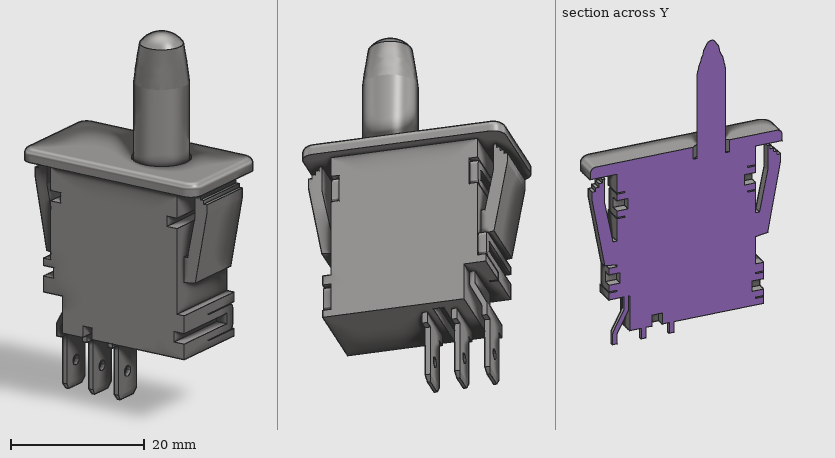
import cadquery as cq


OVERALL_HEIGHT = 58.8

BEZEL_LENGTH = 31.6
BEZEL_WIDTH = 17.0
BEZEL_THICKNESS = 2.0
BEZEL_CORNER_RADIUS = 2.0
BEZEL_EDGE_RADIUS = 1.0

PLUNGER_X = 4.1
PLUNGER_DIAMETER = 8.35
PLUNGER_RADIUS = PLUNGER_DIAMETER / 2
PLUNGER_CLEARANCE_DIAMETER = 9.0
PLUNGER_TIP_RADIUS = 3.3
PLUNGER_SHOULDER_Z = 13.95
PLUNGER_DOME_Z = 20.0
PLUNGER_TOP_Z = 21.7
PLUNGER_TAPER_BULGE = 0.05

HOUSING_WIDTH = 13.3
HOUSING_HALF_LENGTH = 11.4
LEDGE_HALF_LENGTH = 12.7
HOUSING_FOOT_X = -9.3
LEFT_LEDGE_TOP = -15.35
LEFT_LEDGE_BOTTOM = -20.7
RIGHT_LEDGE_TOP = -19.6
HOUSING_BOTTOM = -26.5
HOUSING_FRONT = -HOUSING_WIDTH / 2
HOUSING_BACK = HOUSING_WIDTH / 2

SLOT_HEIGHT = 1.65
SLOT_DEPTH = 1.8
SLOT_END_Y = 4.7
LOOP_HEIGHT = 4.0
LOOP_END_Y = 6.3
LOOP_THICKNESS = LEDGE_HALF_LENGTH - HOUSING_HALF_LENGTH
LOOP_CORNER_RADIUS = 0.75
LOOP_CLEARANCE = 0.1
PARTING_GAP = 0.35
UPPER_LOOP_Z = -5.25
LEFT_LOOP_Z = LEFT_LEDGE_TOP - LOOP_HEIGHT / 2
RIGHT_LOOP_Z = -23.2
BOTTOM_SLOT_X = -4.75

CLIP_WIDTH = 9.45
CLIP_TOP = -0.3
CLIP_INNER_X = 13.35
CLIP_TOP_X = 13.8
CLIP_STEP_WIDTH = 0.56
CLIP_STEP_HEIGHT = 0.6
CLIP_STEPS = 3
CLIP_BEND_Z = -4.4
CLIP_NOSE_BOTTOM = -3.5
CLIP_ROOT_X = 12.0
CLIP_ROOT_TOP = -11.05
CLIP_HEEL_X = 13.4
CLIP_HEEL_Z = -14.8
CLIP_BOTTOM = -15.1

TERMINAL_THICKNESS = 0.8
STRAIGHT_TERMINALS_X = (-7.0, -2.4)
BENT_TERMINAL_TOP_X = -9.8
BENT_TERMINAL_X = -11.7
BEND_TOP = -22.7
BEND_BOTTOM = -26.2
BEND_SHIFT = 0.3
BEND_INNER_RADIUS = 0.4
BEND_OUTER_RADIUS = 0.8
SHOULDER_WIDTH = 8.0
SHOULDER_Z = -28.3
BLADE_WIDTH = 4.8
TIP_CHAMFER_WIDTH = 0.65
TIP_CHAMFER_HEIGHT = 0.95
TIP_THICKNESS = 0.45
TERMINAL_BOTTOM = PLUNGER_TOP_Z - OVERALL_HEIGHT
TERMINAL_HOLE_DIAMETER = 1.6
TERMINAL_HOLE_Z = -33.0
TERMINAL_ROOT = 0.6


def box_between(x_range, y_range, z_range):
    """Box spanning the given pairs of coordinates."""
    spans = (x_range, y_range, z_range)
    sizes = [abs(end - start) for start, end in spans]
    middle = tuple((start + end) / 2 for start, end in spans)
    return cq.Workplane("XY").box(*sizes).translate(middle)


def extrude_along_y(points, width):
    """Extrude an XZ outline symmetrically about Y = 0."""
    return cq.Workplane("XZ").polyline(points).close().extrude(width / 2, both=True)


def make_bezel():
    plate = (
        cq.Workplane("XY")
        .rect(BEZEL_LENGTH, BEZEL_WIDTH)
        .extrude(BEZEL_THICKNESS)
        .edges("|Z")
        .fillet(BEZEL_CORNER_RADIUS)
    )
    return (
        plate.faces(">Z")
        .edges()
        .fillet(BEZEL_EDGE_RADIUS)
        .faces(">Z")
        .workplane(origin=(PLUNGER_X, 0, BEZEL_THICKNESS))
        .hole(PLUNGER_CLEARANCE_DIAMETER)
    )


def make_plunger():
    dome_height = PLUNGER_TOP_Z - PLUNGER_DOME_Z
    dome_radius = (PLUNGER_TIP_RADIUS**2 + dome_height**2) / (2 * dome_height)
    dome_mid_x = PLUNGER_TIP_RADIUS / 2
    dome_mid_z = PLUNGER_TOP_Z - dome_radius + (dome_radius**2 - dome_mid_x**2) ** 0.5
    taper_mid_x = (PLUNGER_RADIUS + PLUNGER_TIP_RADIUS) / 2 + PLUNGER_TAPER_BULGE
    taper_mid_z = (PLUNGER_SHOULDER_Z + PLUNGER_DOME_Z) / 2
    return (
        cq.Workplane("XZ")
        .lineTo(PLUNGER_RADIUS, 0)
        .lineTo(PLUNGER_RADIUS, PLUNGER_SHOULDER_Z)
        .threePointArc((taper_mid_x, taper_mid_z), (PLUNGER_TIP_RADIUS, PLUNGER_DOME_Z))
        .threePointArc((dome_mid_x, dome_mid_z), (0, PLUNGER_TOP_Z))
        .close()
        .revolve(360, (0, 0, 0), (0, 1, 0))
        .translate((PLUNGER_X, 0, 0))
    )


def make_housing_block():
    outline = [
        (-HOUSING_HALF_LENGTH, 0),
        (HOUSING_HALF_LENGTH, 0),
        (HOUSING_HALF_LENGTH, RIGHT_LEDGE_TOP),
        (LEDGE_HALF_LENGTH, RIGHT_LEDGE_TOP),
        (LEDGE_HALF_LENGTH, HOUSING_BOTTOM),
        (HOUSING_FOOT_X, HOUSING_BOTTOM),
        (HOUSING_FOOT_X, LEFT_LEDGE_BOTTOM),
        (-LEDGE_HALF_LENGTH, LEFT_LEDGE_BOTTOM),
        (-LEDGE_HALF_LENGTH, LEFT_LEDGE_TOP),
        (-HOUSING_HALF_LENGTH, LEFT_LEDGE_TOP),
    ]
    return extrude_along_y(outline, HOUSING_WIDTH)


def add_snap_loop(housing, wall_x, loop_z):
    """Form a slotted loop, flush with an end wall, lying in a pocket open to the back."""
    inward = -1 if wall_x > 0 else 1
    loop_x = (wall_x, wall_x + inward * LOOP_THICKNESS)
    slot_x = (wall_x, wall_x + inward * SLOT_DEPTH)
    pocket_half = LOOP_HEIGHT / 2 + LOOP_CLEARANCE
    pocket_z = (loop_z - pocket_half, loop_z + pocket_half)
    loop_z_span = (loop_z - LOOP_HEIGHT / 2, loop_z + LOOP_HEIGHT / 2)
    slot_z = (loop_z - SLOT_HEIGHT / 2, loop_z + SLOT_HEIGHT / 2)

    pocket = box_between(loop_x, (-PARTING_GAP / 2, HOUSING_BACK), pocket_z)
    loop = box_between(loop_x, (-PARTING_GAP / 2, LOOP_END_Y), loop_z_span)
    loop = loop.faces(">Y").edges("|X").fillet(LOOP_CORNER_RADIUS)
    slot = box_between(slot_x, (HOUSING_FRONT, SLOT_END_Y), slot_z)
    return housing.cut(pocket).union(loop).cut(slot)


def make_housing():
    housing = make_housing_block()
    for wall_x, loop_z in (
        (-HOUSING_HALF_LENGTH, UPPER_LOOP_Z),
        (HOUSING_HALF_LENGTH, UPPER_LOOP_Z),
        (-LEDGE_HALF_LENGTH, LEFT_LOOP_Z),
        (LEDGE_HALF_LENGTH, RIGHT_LOOP_Z),
    ):
        housing = add_snap_loop(housing, wall_x, loop_z)

    bottom_slot = box_between(
        (BOTTOM_SLOT_X - SLOT_HEIGHT / 2, BOTTOM_SLOT_X + SLOT_HEIGHT / 2),
        (HOUSING_FRONT, SLOT_END_Y),
        (HOUSING_BOTTOM, HOUSING_BOTTOM + SLOT_DEPTH),
    )
    parting_groove = box_between(
        (-LEDGE_HALF_LENGTH, -HOUSING_HALF_LENGTH),
        (-PARTING_GAP / 2, PARTING_GAP / 2),
        (LEFT_LEDGE_BOTTOM, LEFT_LOOP_Z - LOOP_HEIGHT / 2 - LOOP_CLEARANCE),
    )
    return housing.cut(bottom_slot).cut(parting_groove)


def make_clip():
    """Springy clip on the +X end, with a stepped catch under the bezel."""
    catch = []
    for step in range(CLIP_STEPS):
        step_x = CLIP_TOP_X + step * CLIP_STEP_WIDTH
        step_z = CLIP_TOP - step * CLIP_STEP_HEIGHT
        catch += [(step_x, step_z), (step_x, step_z - CLIP_STEP_HEIGHT)]
    nose_x = CLIP_TOP_X + CLIP_STEPS * CLIP_STEP_WIDTH
    nose_z = CLIP_TOP - CLIP_STEPS * CLIP_STEP_HEIGHT
    outline = [
        (CLIP_INNER_X, CLIP_TOP),
        *catch,
        (nose_x, nose_z),
        (nose_x, CLIP_NOSE_BOTTOM),
        (CLIP_HEEL_X, CLIP_HEEL_Z),
        (HOUSING_HALF_LENGTH, CLIP_BOTTOM),
        (HOUSING_HALF_LENGTH, CLIP_ROOT_TOP),
        (CLIP_ROOT_X, CLIP_ROOT_TOP),
        (CLIP_INNER_X, CLIP_BEND_Z),
    ]
    return extrude_along_y(outline, CLIP_WIDTH)


def make_terminal_front(top_z):
    """Terminal silhouette in YZ, long enough in X to trim any terminal."""
    half_shoulder = SHOULDER_WIDTH / 2
    half_blade = BLADE_WIDTH / 2
    half_tip = half_blade - TIP_CHAMFER_WIDTH
    chamfer_z = TERMINAL_BOTTOM + TIP_CHAMFER_HEIGHT
    right_side = [
        (half_shoulder, top_z),
        (half_shoulder, SHOULDER_Z),
        (half_blade, SHOULDER_Z),
        (half_blade, chamfer_z),
        (half_tip, TERMINAL_BOTTOM),
    ]
    left_side = [(-y, z) for y, z in reversed(right_side)]
    silhouette = (
        cq.Workplane("YZ").polyline(right_side + left_side).close().extrude(BEZEL_LENGTH / 2, both=True)
    )
    hole = (
        cq.Workplane("YZ")
        .center(0, TERMINAL_HOLE_Z)
        .circle(TERMINAL_HOLE_DIAMETER / 2)
        .extrude(BEZEL_LENGTH / 2, both=True)
    )
    return silhouette.cut(hole)


def make_terminal_strip(left_face, right_face, blade_x):
    """Full-width metal strip between two faces given top down, thinned at the blade tip."""
    half = TERMINAL_THICKNESS / 2
    half_tip = TIP_THICKNESS / 2
    chamfer_z = TERMINAL_BOTTOM + TIP_CHAMFER_HEIGHT
    tip = [
        (blade_x - half, chamfer_z),
        (blade_x - half_tip, TERMINAL_BOTTOM),
        (blade_x + half_tip, TERMINAL_BOTTOM),
        (blade_x + half, chamfer_z),
    ]
    return extrude_along_y(left_face + tip + right_face[::-1], SHOULDER_WIDTH)


def make_straight_terminal(blade_x):
    half = TERMINAL_THICKNESS / 2
    top_z = HOUSING_BOTTOM + TERMINAL_ROOT
    strip = make_terminal_strip([(blade_x - half, top_z)], [(blade_x + half, top_z)], blade_x)
    return strip.intersect(make_terminal_front(top_z))


def make_bent_terminal():
    """Terminal rooted in the left ledge, with its blade cranked outwards."""
    half = TERMINAL_THICKNESS / 2
    top_z = LEFT_LEDGE_BOTTOM + TERMINAL_ROOT
    left_bends = [(BENT_TERMINAL_TOP_X - half, BEND_TOP), (BENT_TERMINAL_X - half, BEND_BOTTOM)]
    right_bends = [
        (BENT_TERMINAL_TOP_X + half, BEND_TOP - BEND_SHIFT),
        (BENT_TERMINAL_X + half, BEND_BOTTOM - BEND_SHIFT),
    ]
    strip = make_terminal_strip(
        [(BENT_TERMINAL_TOP_X - half, top_z)] + left_bends,
        [(BENT_TERMINAL_TOP_X + half, top_z)] + right_bends,
        BENT_TERMINAL_X,
    )
    for (bend_x, bend_z), radius in (
        (left_bends[0], BEND_INNER_RADIUS),
        (left_bends[1], BEND_OUTER_RADIUS),
        (right_bends[0], BEND_OUTER_RADIUS),
        (right_bends[1], BEND_INNER_RADIUS),
    ):
        bend_edge = cq.selectors.NearestToPointSelector((bend_x, 0, bend_z))
        strip = strip.edges(bend_edge).fillet(radius)
    return strip.intersect(make_terminal_front(top_z))


right_clip = make_clip()
left_clip = right_clip.mirror("YZ")

result = make_bezel().union(make_housing()).union(make_plunger())
result = result.union(right_clip).union(left_clip)
result = result.union(make_bent_terminal())
for terminal_x in STRAIGHT_TERMINALS_X:
    result = result.union(make_straight_terminal(terminal_x))